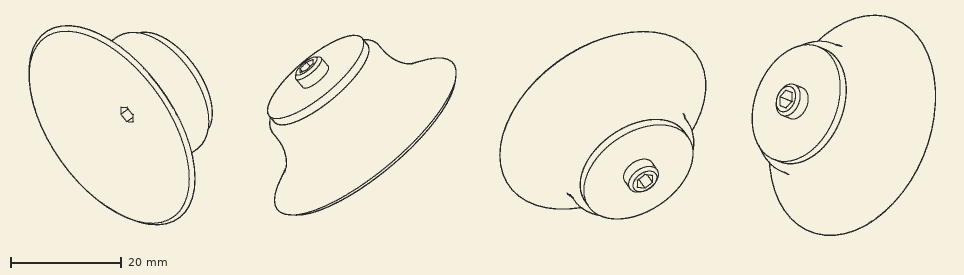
import cadquery as cq
import math


body_radius = 25.0 / 2
body_back = 14.0
back_fillet = 1.55
flare_start = 11.35
flare_radius = 10.0
flare_angle = math.radians(60)
rim_radius = 41.5 / 2
rim_chamfer = 0.75

dish_radius = 27.75 / 2
dish_depth = 3.6
floor_radius = 10.0
floor_depth = 4.65

plate_radius = 22.0 / 2
plate_back = 15.6
pin_radius = 6.0 / 2
pin_back = 18.3
pin_chamfer = 0.6
hex_across_flats = 3.0
hex_sides = 6


def flare_point(angle):
    """Radius and depth on the concave flare, at an angle from its start."""
    radius = body_radius + flare_radius * (1 - math.cos(angle))
    depth = flare_start - flare_radius * math.sin(angle)
    return radius, depth


def make_cup():
    """Revolved half profile: radius along X, depth along Y."""
    mouth_radius = rim_radius - rim_chamfer
    fillet_inset = back_fillet * (1 - math.sqrt(0.5))
    profile = (
        cq.Workplane("XY")
        .moveTo(0, floor_depth)
        .lineTo(floor_radius, floor_depth)
        .lineTo(dish_radius, dish_depth)
        .lineTo(mouth_radius, 0)
        .lineTo(rim_radius, rim_chamfer)
        .lineTo(*flare_point(flare_angle))
        .threePointArc(flare_point(flare_angle / 2), flare_point(0))
        .lineTo(body_radius, body_back - back_fillet)
        .threePointArc(
            (body_radius - fillet_inset, body_back - fillet_inset),
            (body_radius - back_fillet, body_back),
        )
        .lineTo(0, body_back)
        .close()
    )
    return profile.revolve(360, (0, 0, 0), (0, 1, 0))


def make_disc(radius, front, back):
    """Solid disc about the Y axis between two depths."""
    plane = cq.Plane(origin=(0, front, 0), xDir=(1, 0, 0), normal=(0, 1, 0))
    return cq.Workplane(plane).circle(radius).extrude(back - front)


def make_hex_hole():
    """Hexagonal bar along Y, with corners pointing to +Z and -Z."""
    across_corners = hex_across_flats / math.cos(math.pi / hex_sides)
    plane = cq.Plane(origin=(0, 0, 0), xDir=(0, 0, 1), normal=(0, 1, 0))
    return cq.Workplane(plane).polygon(hex_sides, across_corners).extrude(pin_back)


plate = make_disc(plate_radius, body_back, plate_back)
pin = make_disc(pin_radius, plate_back, pin_back).faces(">Y").chamfer(pin_chamfer)
result = make_cup().union(plate).union(pin).cut(make_hex_hole())